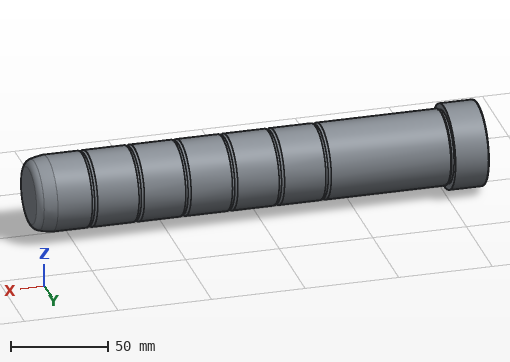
import cadquery as cq

length = 240.0
head_diameter = 45.0
head_length = 18.0
shaft_diameter = 40.0
head_radius = head_diameter / 2
shaft_radius = shaft_diameter / 2

edge_chamfer = 0.5

relief_depth = 0.7
relief_floor = 1.2
relief_slope = 0.7

groove_count = 6
groove_pitch = 25.0
last_groove_x = 210.0
groove_width = 3.0
groove_depth = 0.7

nose_length = 10.0
lead_length = 7.0
lead_drop = 1.5
lead_bulge = 0.2
end_drop = 5.0
end_bulge = 0.6

centre_mouth_diameter = 6.7
centre_drill_diameter = 3.4
centre_drill_depth = 6.0
countersink_depth = (centre_mouth_diameter - centre_drill_diameter) / 2
drill_tip_length = 1.0


def revolve_about_x(profile):
    return profile.close().revolve(360, (0, 0, 0), (1, 0, 0))


def make_body():
    relief_radius = shaft_radius - relief_depth
    relief_end = head_length + relief_floor
    nose_start = length - nose_length
    lead_end = nose_start + lead_length
    lead_radius = shaft_radius - lead_drop
    end_radius = shaft_radius - end_drop
    profile = (
        cq.Workplane("XY")
        .lineTo(0, head_radius - edge_chamfer)
        .lineTo(edge_chamfer, head_radius)
        .lineTo(head_length, head_radius)
        .lineTo(head_length, relief_radius)
        .lineTo(relief_end, relief_radius)
        .lineTo(relief_end + relief_slope, shaft_radius)
        .lineTo(nose_start, shaft_radius)
        .sagittaArc((lead_end, lead_radius), lead_bulge)
        .sagittaArc((length, end_radius), end_bulge)
        .lineTo(length, 0)
    )
    return revolve_about_x(profile)


def make_oil_groove(x):
    outer_radius = shaft_radius + groove_depth
    left = x - groove_width / 2
    right = x + groove_width / 2
    profile = (
        cq.Workplane("XY")
        .moveTo(left, outer_radius)
        .lineTo(left, shaft_radius)
        .lineTo(x, shaft_radius - groove_depth)
        .lineTo(right, shaft_radius)
        .lineTo(right, outer_radius)
    )
    return revolve_about_x(profile)


def make_centre_hole():
    drill_radius = centre_drill_diameter / 2
    profile = (
        cq.Workplane("XY")
        .lineTo(0, centre_mouth_diameter / 2)
        .lineTo(countersink_depth, drill_radius)
        .lineTo(centre_drill_depth, drill_radius)
        .lineTo(centre_drill_depth + drill_tip_length, 0)
    )
    return revolve_about_x(profile)


result = make_body().cut(make_centre_hole())
for index in range(groove_count):
    result = result.cut(make_oil_groove(last_groove_x - index * groove_pitch))